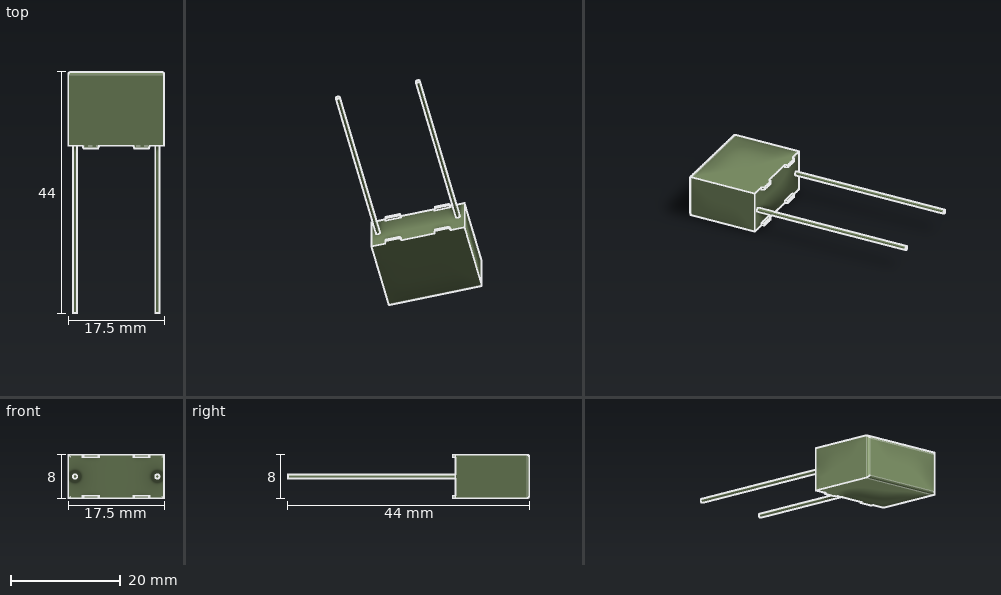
import cadquery as cq

case_width = 17.5
case_thickness = 8.0
standoff_height = 0.5
overall_height = 14.0
case_depth = overall_height - standoff_height
back_edge_radius = 0.5

standoff_pitch = 9.25
standoff_base_width = 3.05
standoff_tip_width = 2.65
standoff_thickness = 0.5

lead_pitch = 15.0
lead_diameter = 0.8
lead_length_below_seat = 30.0
lead_length = lead_length_below_seat + standoff_height


def make_case_block():
    """Rectangular block with the edges around its +Y face rounded."""
    block = cq.Workplane("XY").box(
        case_width, case_depth, case_thickness, centered=(True, False, True)
    )
    block = block.translate((0, standoff_height, 0))
    return block.faces(">Y").edges().fillet(back_edge_radius)


def make_standoff(center_x, bottom_z):
    """Tapered foot reaching from the case down to the seating plane."""
    half_base = standoff_base_width / 2
    half_tip = standoff_tip_width / 2
    return (
        cq.Workplane("XY", origin=(center_x, 0, bottom_z))
        .moveTo(-half_base, standoff_height)
        .lineTo(-half_tip, 0)
        .lineTo(half_tip, 0)
        .lineTo(half_base, standoff_height)
        .close()
        .extrude(standoff_thickness)
    )


def make_case():
    """Case block joined with its four standoffs, flush with the top and bottom."""
    case = make_case_block()
    lower_z = -case_thickness / 2
    upper_z = case_thickness / 2 - standoff_thickness
    for center_x in (-standoff_pitch / 2, standoff_pitch / 2):
        for bottom_z in (lower_z, upper_z):
            case = case.union(make_standoff(center_x, bottom_z))
    return case


def make_lead(center_x):
    """Round wire lead that starts on the face of the case and runs toward -Y."""
    return (
        cq.Workplane("XZ", origin=(center_x, standoff_height, 0))
        .circle(lead_diameter / 2)
        .extrude(lead_length)
    )


case = make_case()
leads = [make_lead(center_x) for center_x in (-lead_pitch / 2, lead_pitch / 2)]

result = cq.Compound.makeCompound([case.val(), *[lead.val() for lead in leads]])